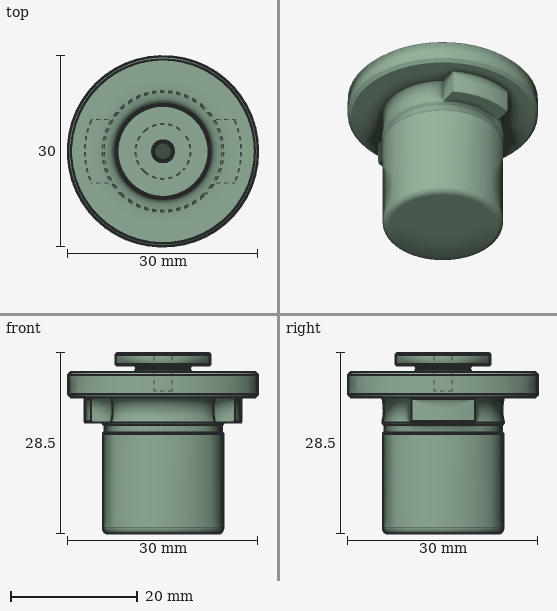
import cadquery as cq

total_height = 28.5
button_bottom = total_height - 2.0
flange_top = 25.5
flange_bottom = flange_top - 4.0
key_bottom = flange_bottom - 4.0
waist_middle = (key_bottom + flange_bottom) / 2
groove_top = key_bottom - 0.4
body_top = 15.75

flange_radius = 15.0
flange_chamfer = 0.5
body_radius = 9.5
body_fillet = 1.0
groove_radius = 9.27
waist_end_radius = 9.6
waist_middle_radius = 9.35
button_radius = 7.5
button_chamfer = 0.3
stem_radius = 4.25
stem_end_radius = 4.4
stem_bottom_flare = 0.42
stem_top_flare = 0.27

key_outer_radius = 12.4
key_width = 10.0
key_edge_radial = 0.12
key_edge_height = 0.27

hole_radius = 1.4
hole_depth = 6.0
hole_chamfer = 0.3


def make_turned_body():
    """Revolve the full half-profile of the round part about Z."""
    groove_step = body_radius - groove_radius
    profile = (
        cq.Workplane("XZ")
        .lineTo(body_radius, 0)
        .lineTo(body_radius, body_top)
        .lineTo(groove_radius, body_top + groove_step)
        .lineTo(groove_radius, groove_top)
        .lineTo(waist_end_radius, key_bottom)
        .threePointArc((waist_middle_radius, waist_middle), (waist_end_radius, flange_bottom))
        .lineTo(flange_radius - flange_chamfer, flange_bottom)
        .lineTo(flange_radius, flange_bottom + flange_chamfer)
        .lineTo(flange_radius, flange_top - flange_chamfer)
        .lineTo(flange_radius - flange_chamfer, flange_top)
        .lineTo(stem_end_radius, flange_top)
        .lineTo(stem_radius, flange_top + stem_bottom_flare)
        .lineTo(stem_radius, button_bottom - stem_top_flare)
        .lineTo(stem_end_radius, button_bottom)
        .lineTo(button_radius - button_chamfer, button_bottom)
        .lineTo(button_radius, button_bottom + button_chamfer)
        .lineTo(button_radius, total_height - button_chamfer)
        .lineTo(button_radius - button_chamfer, total_height)
        .lineTo(0, total_height)
        .close()
    )
    turned = profile.revolve(360, (0, 0, 0), (0, 1, 0))
    return turned.faces("<Z").edges().fillet(body_fillet)


def make_keys():
    """Cut a chamfered disc to a flat-sided bar whose ends form both keys."""
    edge_radius = key_outer_radius - key_edge_radial
    disc = (
        cq.Workplane("XZ")
        .moveTo(0, key_bottom)
        .lineTo(edge_radius, key_bottom)
        .lineTo(key_outer_radius, key_bottom + key_edge_height)
        .lineTo(key_outer_radius, flange_bottom - key_edge_height)
        .lineTo(edge_radius, flange_bottom)
        .lineTo(0, flange_bottom)
        .close()
        .revolve(360, (0, 0, 0), (0, 1, 0))
    )
    bar = cq.Workplane("XY").box(2 * key_outer_radius, key_width, 2 * total_height)
    return disc.intersect(bar)


def make_hole():
    """Blind hole with a chamfered mouth, opening at the top face."""
    hole_bottom = total_height - hole_depth
    return (
        cq.Workplane("XZ")
        .moveTo(0, hole_bottom)
        .lineTo(hole_radius, hole_bottom)
        .lineTo(hole_radius, total_height - hole_chamfer)
        .lineTo(hole_radius + hole_chamfer, total_height)
        .lineTo(0, total_height)
        .close()
        .revolve(360, (0, 0, 0), (0, 1, 0))
    )


result = make_turned_body().union(make_keys()).cut(make_hole())